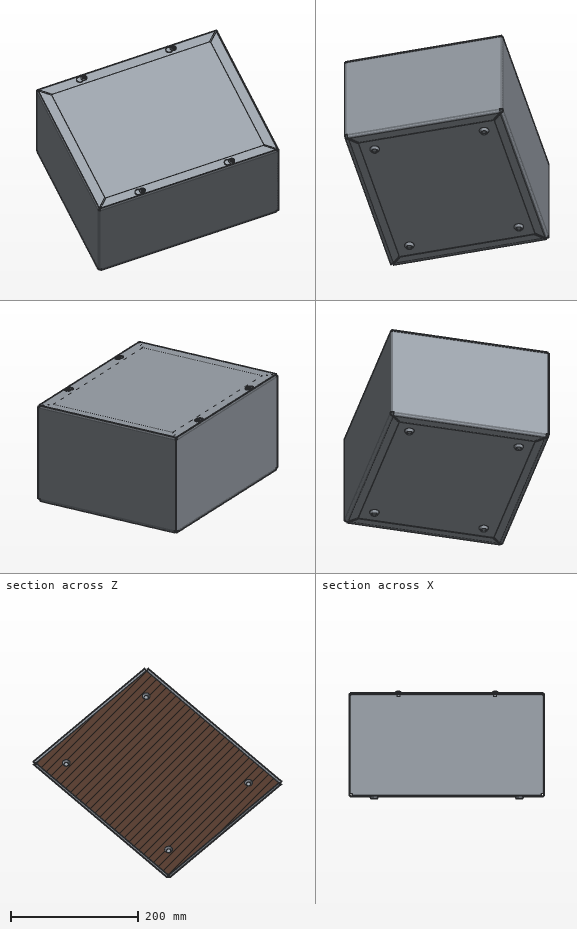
import cadquery as cq
import math

WIDTH = 257.2
LENGTH = 308.0
SHEET = 1.5
WALL_HEIGHT = 163.2

SIDE_BEND = 2.5
TOP_BEND = 2.5
BOTTOM_BEND = 4.5
FLANGE = 18.5
BEND_INSET = 5.0
TOP_INSET = 2.8
MITER_GAP = 1.5
NOTCH_HEIGHT = 5.5
SEAM_GAP = 0.5

LID_INSET = 2.2
KEYHOLE_DIAMETER = 10.8
KEYHOLE_SLOT = 7.7
KEYHOLE_OFFSET = 6.8

SCREW_X = 119.8
SCREW_Y = 76.0
HEAD_DIAMETER = 10.0
HEAD_HEIGHT = 2.53
SHANK_DIAMETER = 4.3
SHANK_LENGTH = 6.2
RECESS_SPAN = 5.0
RECESS_WIDTH = 1.2
RECESS_DEPTH = 1.5

PLATE_INSET = 6.0
DIMPLE_X = 88.7
DIMPLE_Y = 114.3
DIMPLE_DROP = 2.8
DIMPLE_FOOT = 10.0
DIMPLE_MOUTH = 15.5

LID_TOP = WALL_HEIGHT + SHEET
SCREW_SPOTS = [(x, y) for x in (-SCREW_X, SCREW_X) for y in (-SCREW_Y, SCREW_Y)]
DIMPLE_SPOTS = [(x, y) for x in (-DIMPLE_X, DIMPLE_X) for y in (-DIMPLE_Y, DIMPLE_Y)]


def upright_walls():
    """Flat walls and vertical bends; the left wall runs past the back wall at the seam."""
    height = WALL_HEIGHT - TOP_BEND - BOTTOM_BEND
    bent_edges = ">Y and >X or <Y"
    base = cq.Workplane("XY").workplane(offset=BOTTOM_BEND)
    outer = base.rect(WIDTH, LENGTH).extrude(height)
    inner = base.rect(WIDTH - 2 * SHEET, LENGTH - 2 * SHEET).extrude(height)
    outer = outer.edges("|Z").edges(bent_edges).fillet(SIDE_BEND)
    inner = inner.edges("|Z").edges(bent_edges).fillet(SIDE_BEND - SHEET)
    return outer.cut(inner)


def bent_flange(span, radius, inset):
    """Bend and flange along a wall of the given span, wall face on the XZ plane, flange at Z = 0."""
    inner = radius - SHEET
    diagonal = math.sqrt(0.5)
    profile = (
        cq.Workplane("YZ")
        .moveTo(0, radius)
        .threePointArc((radius * (1 - diagonal), radius * (1 - diagonal)), (radius, 0))
        .lineTo(FLANGE, 0)
        .lineTo(FLANGE, SHEET)
        .lineTo(radius, SHEET)
        .threePointArc((radius - inner * diagonal, radius - inner * diagonal), (SHEET, radius))
        .close()
        .extrude(span / 2, both=True)
    )
    end = span / 2 - inset
    tip = span / 2 - FLANGE - MITER_GAP
    plan = (
        cq.Workplane("XY")
        .polyline([(-end, 0), (end, 0), (end, inset - MITER_GAP), (tip, FLANGE),
                   (-tip, FLANGE), (-end, inset - MITER_GAP)])
        .close()
        .extrude(radius)
    )
    return profile.intersect(plan)


def flange_ring(radius, inset):
    """List of the flanges of the four walls, lying at Z = 0 with the bends turning up."""
    ring = []
    for turn, span, reach in ((0, WIDTH, LENGTH), (90, LENGTH, WIDTH),
                              (180, WIDTH, LENGTH), (270, LENGTH, WIDTH)):
        flange = bent_flange(span, radius, inset).translate((0, -reach / 2, 0))
        ring.append(flange.rotate((0, 0, 0), (0, 0, 1), turn))
    return ring


def corner_notches():
    """List of relief cuts where the bottom bends meet; the left wall stays whole at the seam."""
    notches = []
    for side_x in (-1, 1):
        for side_y in (-1, 1):
            at_seam = side_x < 0 < side_y
            start = SHEET if at_seam else 0
            size = BEND_INSET - start
            notch = cq.Workplane("XY").box(size, BEND_INSET, NOTCH_HEIGHT, centered=(True, True, False))
            x = side_x * (WIDTH / 2 - start - size / 2)
            notches.append(notch.translate((x, side_y * (LENGTH - BEND_INSET) / 2, 0)))
    return notches


def wall_band():
    """Walls with their top and bottom flanges, one solid."""
    band = upright_walls()
    for flange in flange_ring(BOTTOM_BEND, BEND_INSET):
        band = band.union(flange)
    for flange in flange_ring(TOP_BEND, TOP_INSET):
        band = band.union(flange.mirror("XY").translate((0, 0, WALL_HEIGHT)))
    for notch in corner_notches():
        band = band.cut(notch)
    seam = cq.Workplane("XY").box(SEAM_GAP, SHEET, WALL_HEIGHT, centered=(False, False, False))
    band = band.cut(seam.translate((SHEET - WIDTH / 2, LENGTH / 2 - SHEET, 0)))
    screw_holes = cq.Workplane("XY").pushPoints(SCREW_SPOTS).circle(SHANK_DIAMETER / 2).extrude(SHEET)
    return band.cut(screw_holes.translate((0, 0, WALL_HEIGHT - SHEET)))


def screw_lid():
    """Flat lid with a keyhole at each screw."""
    base = cq.Workplane("XY").workplane(offset=WALL_HEIGHT)
    lid = base.rect(WIDTH - 2 * LID_INSET, LENGTH - 2 * LID_INSET).extrude(SHEET)
    wide_ends = base.pushPoints([(x, y - KEYHOLE_OFFSET) for x, y in SCREW_SPOTS])
    wide_ends = wide_ends.circle(KEYHOLE_DIAMETER / 2).extrude(SHEET)
    slot_spots = [(x, y - KEYHOLE_OFFSET / 2) for x, y in SCREW_SPOTS]
    slot_length = KEYHOLE_OFFSET + KEYHOLE_SLOT
    slots = base.pushPoints(slot_spots).slot2D(slot_length, KEYHOLE_SLOT, 90).extrude(SHEET)
    return lid.cut(wide_ends).cut(slots)


def cover_screw(x, y):
    """Domed cross-recess screw with its head on the lid."""
    dome_radius = (HEAD_DIAMETER**2 / 4 + HEAD_HEIGHT**2) / (2 * HEAD_HEIGHT)
    ball = cq.Workplane("XY").sphere(dome_radius).translate((0, 0, HEAD_HEIGHT - dome_radius))
    head = cq.Workplane("XY").circle(HEAD_DIAMETER).extrude(HEAD_HEIGHT).intersect(ball)
    shank = cq.Workplane("XY").circle(SHANK_DIAMETER / 2).extrude(-SHANK_LENGTH)
    screw = head.union(shank)
    crown = cq.Workplane("XY").workplane(offset=HEAD_HEIGHT)
    for arm_x, arm_y in ((RECESS_SPAN, RECESS_WIDTH), (RECESS_WIDTH, RECESS_SPAN)):
        screw = screw.cut(crown.rect(arm_x, arm_y).extrude(-RECESS_DEPTH))
    return screw.translate((x, y, LID_TOP))


def dimple_cone(foot, mouth, bottom, top):
    """Cone frustum between two heights."""
    return (
        cq.Workplane("XZ")
        .polyline([(0, bottom), (foot / 2, bottom), (mouth / 2, top), (0, top)])
        .close()
        .revolve(360, (0, 0, 0), (0, 1, 0))
    )


def base_plate():
    """Plate resting on the bottom flanges, pressed down into hollow mounting dimples."""
    base = cq.Workplane("XY").workplane(offset=SHEET)
    plate = base.rect(WIDTH - 2 * PLATE_INSET, LENGTH - 2 * PLATE_INSET).extrude(SHEET)
    outside = dimple_cone(DIMPLE_FOOT, DIMPLE_MOUTH, -DIMPLE_DROP, SHEET)
    hollow = dimple_cone(DIMPLE_FOOT - 2 * SHEET, DIMPLE_MOUTH - 2 * SHEET, SHEET - DIMPLE_DROP, 2 * SHEET)
    for x, y in DIMPLE_SPOTS:
        plate = plate.union(outside.translate((x, y, 0)))
        plate = plate.cut(hollow.translate((x, y, 0)))
    return plate


walls = wall_band()
lid = screw_lid()
screws = [cover_screw(x, y) for x, y in SCREW_SPOTS]
plate = base_plate()

result = cq.Compound.makeCompound(
    [walls.val(), lid.val(), plate.val(), *[screw.val() for screw in screws]]
)